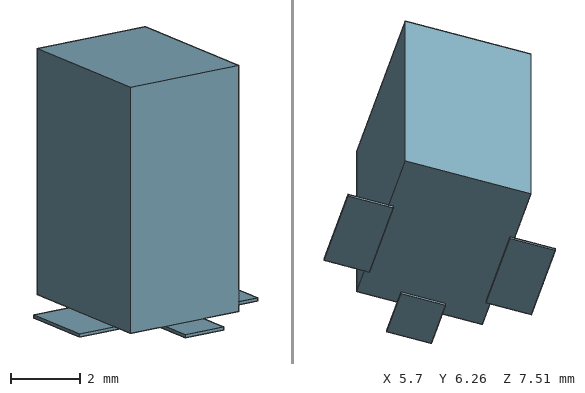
import cadquery as cq

total_x = 5.7
total_y = 6.26
total_z = 7.51

housing_x = 4.7
housing_y = 3.8

terminal_thickness = 0.1
terminal_length = 1.375
side_terminal_width = 2.31
side_terminal_x = 0.39
end_terminal_width = 1.35

housing_z = total_z - terminal_thickness
end_terminal_tip_x = total_x - housing_x / 2
end_terminal_x = end_terminal_tip_x - terminal_length / 2
side_terminal_y = (total_y - terminal_length) / 2


def box_on_level(size_x, size_y, size_z, center_x, center_y, bottom_z):
    """Box placed by the centre of its bottom face."""
    return (
        cq.Workplane("XY")
        .box(size_x, size_y, size_z, centered=(True, True, False))
        .translate((center_x, center_y, bottom_z))
    )


def make_housing():
    return box_on_level(housing_x, housing_y, housing_z, 0, 0, terminal_thickness)


def make_side_terminal(side):
    """Wide terminal on the +Y (side = 1) or -Y (side = -1) edge."""
    return box_on_level(
        side_terminal_width,
        terminal_length,
        terminal_thickness,
        side_terminal_x,
        side * side_terminal_y,
        0,
    )


def make_end_terminal():
    """Narrow terminal on the +X edge."""
    return box_on_level(
        terminal_length, end_terminal_width, terminal_thickness, end_terminal_x, 0, 0
    )


housing = make_housing()
side_terminals = [make_side_terminal(side) for side in (-1, 1)]
end_terminal = make_end_terminal()

result = cq.Compound.makeCompound(
    [
        housing.val(),
        *[terminal.val() for terminal in side_terminals],
        end_terminal.val(),
    ]
)